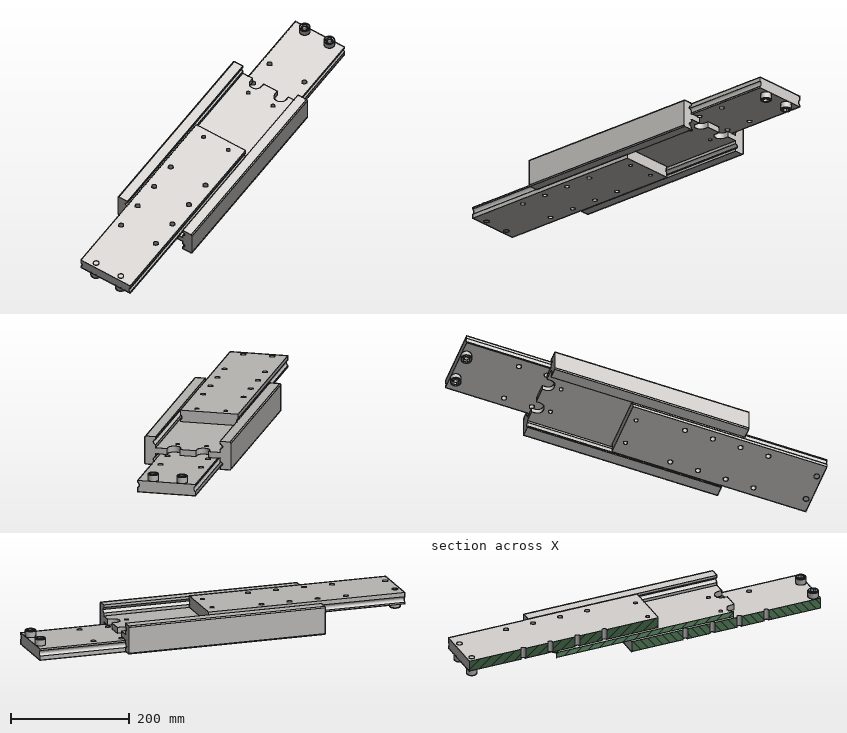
import cadquery as cq

total_length = 650
total_height = 55.0
body_length = 350.0

housing_width = 150.0
housing_height = 49.5
channel_width = 112.0
web_thickness = 10.5
housing_chamfer = 2.0
housing_groove_depth = 4.5

slider_width = 100.0
slider_thickness = 20.0
slider_groove_depth = 2.5
groove_opening = 10.0
groove_flank_bulge = 0.5
groove_to_inner_face = 8.0

mount_hole_diameter = 8.5
mount_hole_spacing_x = 70.0
mount_hole_pitch = 50.0
mount_hole_count = 4
first_mount_hole_from_end = 100.0

screw_spacing_x = 50.0
head_diameter = 18.0
head_height = 12.0
head_chamfer = 1.0
socket_width = 10.0
socket_depth = 6.0
socket_cone_depth = 2.5
shank_recess_diameter = 10.0
shank_recess_depth = 0.3
dowel_hole_diameter = 6.5
slider_dowel_from_end = 15.0
housing_dowel_from_end = 30.0
notch_width = 22.0
notch_depth = 17.5

slider_inner_z = total_height / 2 - slider_thickness
groove_z = slider_inner_z + groove_to_inner_face
slider_outer_end = total_length / 2
slider_inner_end = slider_outer_end - body_length
slider_center_y = slider_outer_end - body_length / 2
screw_y = slider_outer_end - head_diameter / 2


def paired_points(spacing_x, y_positions):
    """Points mirrored about the YZ plane at each of the given Y positions."""
    return [(side * spacing_x / 2, y) for y in y_positions for side in (-1, 1)]


def groove_bar(side, face_x, depth, z):
    """Pointed-arch bar cutting a groove of the given depth from face_x to the side (+1 or -1)."""
    half_opening = groove_opening / 2
    flank_x = face_x + side * (depth / 2 + groove_flank_bulge)
    return (
        cq.Workplane("XZ")
        .moveTo(face_x, z - half_opening)
        .threePointArc((flank_x, z - half_opening / 2), (face_x + side * depth, z))
        .threePointArc((flank_x, z + half_opening / 2), (face_x, z + half_opening))
        .close()
        .extrude(total_length, both=True)
    )


def vertical_holes(points, diameter):
    """Round cutters tall enough to pass through any body."""
    return cq.Workplane("XY").pushPoints(points).circle(diameter / 2).extrude(total_height, both=True)


def housing_notches():
    """Round-bottomed notches in both ends of the web, giving room to the screw heads."""
    radius = notch_width / 2
    end_y = body_length / 2
    center_y = end_y - notch_depth + radius
    points = paired_points(screw_spacing_x, (center_y, -center_y))
    notches = vertical_holes(points, notch_width)
    for x, y in points:
        end_direction = 1 if y > 0 else -1
        straight_center_y = y + end_direction * notch_depth / 2
        straight = cq.Workplane("XY").box(notch_width, notch_depth, total_height)
        notches = notches.union(straight.translate((x, straight_center_y, 0)))
    return notches


def socket():
    """Hexagonal key socket with a conical bottom, sunk into a screw head standing on Z = 0."""
    bottom_z = head_height - socket_depth
    hexagon = (
        cq.Workplane("XY", origin=(0, 0, bottom_z))
        .polygon(6, socket_width, circumscribed=True)
        .extrude(socket_depth)
    )
    tip = cq.Solid.makeCone(0, socket_width / 2, socket_cone_depth, pnt=(0, 0, bottom_z - socket_cone_depth))
    return hexagon.union(cq.Workplane(tip))


def make_housing():
    housing = cq.Workplane("XY").box(housing_width, body_length, housing_height)
    housing = housing.edges("|Y").chamfer(housing_chamfer)
    channel_depth = (housing_height - web_thickness) / 2
    channel = cq.Workplane("XY").box(channel_width, body_length, channel_depth)
    for level in (-1, 1):
        channel_z = level * (web_thickness + channel_depth) / 2
        housing = housing.cut(channel.translate((0, 0, channel_z)))
        for side in (-1, 1):
            face_x = side * channel_width / 2
            housing = housing.cut(groove_bar(side, face_x, housing_groove_depth, level * groove_z))
    dowel_y = body_length / 2 - housing_dowel_from_end
    dowel_points = paired_points(screw_spacing_x, (dowel_y, -dowel_y))
    return housing.cut(housing_notches()).cut(vertical_holes(dowel_points, dowel_hole_diameter))


def make_lower_slider():
    """Plate reaching out to +Y, with its two stop screw heads standing up from the inner face."""
    slider = cq.Workplane("XY").box(slider_width, body_length, slider_thickness)
    slider = slider.translate((0, slider_center_y, -slider_inner_z - slider_thickness / 2))
    for side in (-1, 1):
        face_x = side * slider_width / 2
        slider = slider.cut(groove_bar(-side, face_x, slider_groove_depth, -groove_z))

    first_hole_y = slider_outer_end - first_mount_hole_from_end
    mount_rows = [first_hole_y - row * mount_hole_pitch for row in range(mount_hole_count)]
    slider = slider.cut(vertical_holes(paired_points(mount_hole_spacing_x, mount_rows), mount_hole_diameter))

    dowel_points = paired_points(screw_spacing_x, (slider_inner_end + slider_dowel_from_end,))
    slider = slider.cut(vertical_holes(dowel_points, dowel_hole_diameter))

    screw_points = paired_points(screw_spacing_x, (screw_y,))
    head = cq.Workplane("XY").circle(head_diameter / 2).extrude(head_height)
    head = head.faces(">Z").chamfer(head_chamfer).cut(socket())
    for x, y in screw_points:
        slider = slider.union(head.translate((x, y, -slider_inner_z)))

    recesses = (
        cq.Workplane("XY", origin=(0, 0, -total_height / 2))
        .pushPoints(screw_points)
        .circle(shank_recess_diameter / 2)
        .extrude(shank_recess_depth)
    )
    return slider.cut(recesses)


housing = make_housing()
lower_slider = make_lower_slider()
upper_slider = lower_slider.rotate((0, 0, 0), (1, 0, 0), 180)

result = cq.Compound.makeCompound([housing.val(), lower_slider.val(), upper_slider.val()])